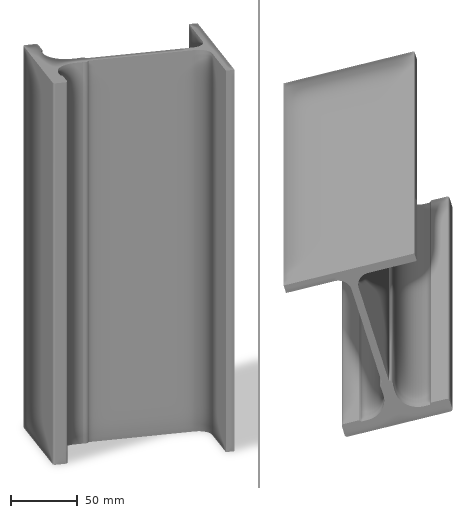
import cadquery as cq
import math

length = 304.8
depth = 138.0

flange_width = 101.5
flange_thickness = 6.7
flange_fillet = 10.5
web_thickness = 5.5

rail_width = 83.5
rail_thickness = 11.3
rail_corner = 1.8
root_thickness = 9.0
root_shoulder_height = 38.5
root_shoulder_length = 5.0
root_shoulder_radius = 3.7
groove_radius = 17.5
groove_floor = 9.8
groove_flat = 4.5
groove_lip_run = 1.5

back = depth / 2
front = -depth / 2
flange_inner = back - flange_thickness
rail_inner = front + rail_thickness
shoulder_top = front + root_shoulder_height
shoulder_base = shoulder_top - root_shoulder_length

web_x = web_thickness / 2
root_x = root_thickness / 2
rail_x = rail_width / 2
diagonal = math.sqrt(0.5)

groove_x = root_x + groove_radius
groove_bottom = front + groove_floor
groove_y = groove_bottom + groove_radius
groove_flat_end = groove_x + groove_flat

flange_fillet_mid = (
    web_x + flange_fillet * (1 - diagonal),
    flange_inner - flange_fillet * (1 - diagonal),
)
groove_mid = (groove_x - groove_radius * diagonal, groove_y - groove_radius * diagonal)


def half_beam():
    """Extrude the +X half of the profile and round the rail's edges."""
    half = (
        cq.Workplane("XY")
        .moveTo(0, back)
        .lineTo(flange_width / 2, back)
        .lineTo(flange_width / 2, flange_inner)
        .lineTo(web_x + flange_fillet, flange_inner)
        .threePointArc(flange_fillet_mid, (web_x, flange_inner - flange_fillet))
        .lineTo(web_x, shoulder_top)
        .radiusArc((root_x, shoulder_base), root_shoulder_radius)
        .lineTo(root_x, groove_y)
        .threePointArc(groove_mid, (groove_x, groove_bottom))
        .lineTo(groove_flat_end, groove_bottom)
        .lineTo(groove_flat_end + groove_lip_run, rail_inner)
        .lineTo(rail_x, rail_inner)
        .lineTo(rail_x, front)
        .lineTo(0, front)
        .close()
        .extrude(length / 2, both=True)
    )
    rail_edges = half.edges(
        cq.selectors.BoxSelector(
            (rail_x - rail_corner, front - rail_corner, -length),
            (rail_x + rail_corner, rail_inner + rail_corner, length),
        )
    ).edges("|Z")
    return rail_edges.fillet(rail_corner)


right_half = half_beam()
result = right_half.union(right_half.mirror("YZ")).clean()